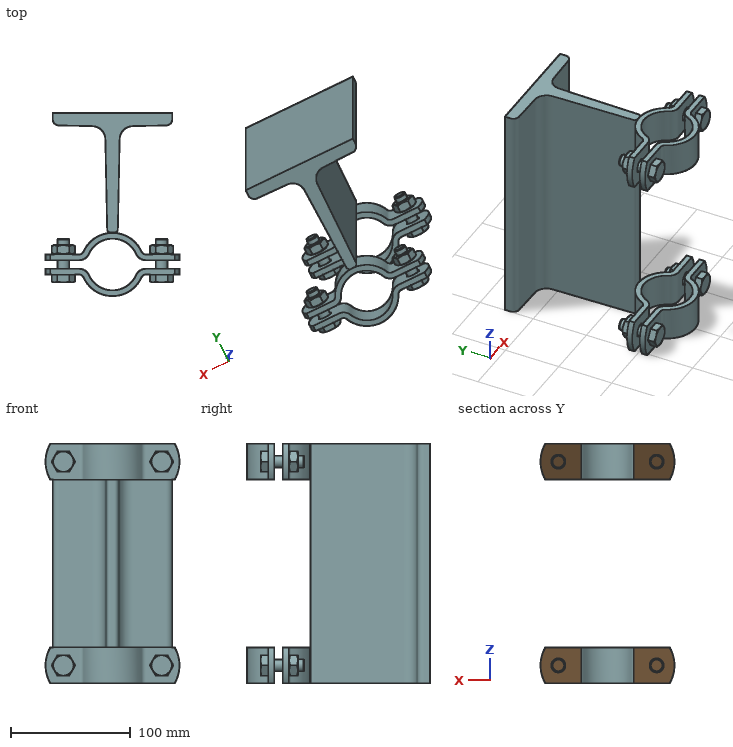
import cadquery as cq
import math

TEE_SIZE = 100.0
TEE_LENGTH = 200.0
TEE_THICKNESS = 11.0
TEE_TAPER = 0.02
TEE_ROOT_RADIUS = 11.0
TEE_EDGE_RADIUS = 5.5
TEE_TOE_RADIUS = 3.0

PIPE_BORE_RADIUS = 21.5
STRAP_THICKNESS = 5.0
STRAP_WIDTH = 30.0
STRAP_SPAN = 112.0
STRAP_END_RADIUS = 30.0
STRAP_GAP = 7.0
BEND_RADIUS = 4.0

BOLT_SPACING = 82.0
BOLT_DIAMETER = 10.0
BOLT_TIP_DIAMETER = 9.19
BOLT_TIP_CHAMFER = 1.0
BOLT_LENGTH = 30.0
BOLT_HOLE_DIAMETER = 11.5
HEX_FLATS = 17.0
NUT_FACE_DIAMETER = 15.4
HEX_CHAMFER_ANGLE = 30.0
HEAD_HEIGHT = 6.4
NUT_HEIGHT = 8.0

ARCH_RADIUS = PIPE_BORE_RADIUS + STRAP_THICKNESS
LUG_INNER = STRAP_GAP / 2
LUG_OUTER = LUG_INNER + STRAP_THICKNESS
CLAMP_HEIGHTS = [STRAP_WIDTH / 2, TEE_LENGTH - STRAP_WIDTH / 2]


def tee():
    """Tee with its web toe resting on the back of the clamps and its flange towards +Y."""
    toe = ARCH_RADIUS
    back = toe + TEE_SIZE
    half_width = TEE_SIZE / 2
    flange_middle = back - TEE_THICKNESS

    tip_y = flange_middle + TEE_TAPER * half_width / 2
    toe_x = TEE_THICKNESS / 2 - TEE_TAPER * half_width
    root_x = (toe_x + TEE_TAPER * (tip_y - TEE_TAPER * half_width - toe)) / (1 - TEE_TAPER ** 2)
    root_y = tip_y - TEE_TAPER * (half_width - root_x)

    outline = [
        (half_width, back),
        (half_width, tip_y),
        (root_x, root_y),
        (toe_x, toe),
        (-toe_x, toe),
        (-root_x, root_y),
        (-half_width, tip_y),
        (-half_width, back),
    ]
    body = cq.Workplane("XY").polyline(outline).close().extrude(TEE_LENGTH)

    def round_edges(work, x, y, radius):
        for side in (-1, 1):
            work = work.edges(cq.NearestToPointSelector((side * x, y, TEE_LENGTH / 2))).fillet(radius)
        return work

    body = round_edges(body, root_x, root_y, TEE_ROOT_RADIUS)
    body = round_edges(body, half_width, tip_y, TEE_EDGE_RADIUS)
    return round_edges(body, toe_x, toe, TEE_TOE_RADIUS)


def strap():
    """Arched strap with two lugs, on the +Y side of the pipe, centred on Z = 0."""
    bend_y = LUG_OUTER + BEND_RADIUS
    bend_reach = ARCH_RADIUS + BEND_RADIUS
    bend_x = math.sqrt(bend_reach ** 2 - bend_y ** 2)
    bend_angle = math.atan2(bend_y, bend_x)
    half_span = STRAP_SPAN / 2

    def arch_point(radius):
        return radius * math.cos(bend_angle), radius * math.sin(bend_angle)

    def bend_middle(radius):
        start_angle = math.pi + bend_angle
        end_angle = 1.5 * math.pi
        angle = (start_angle + end_angle) / 2
        return bend_x + radius * math.cos(angle), bend_y + radius * math.sin(angle)

    def mirrored(point):
        return -point[0], point[1]

    outer_bend = bend_middle(BEND_RADIUS)
    inner_bend = bend_middle(BEND_RADIUS + STRAP_THICKNESS)
    outer_end = arch_point(ARCH_RADIUS)
    inner_end = arch_point(PIPE_BORE_RADIUS)
    body = (
        cq.Workplane("XY")
        .moveTo(half_span, LUG_OUTER)
        .lineTo(bend_x, LUG_OUTER)
        .threePointArc(outer_bend, outer_end)
        .threePointArc((0, ARCH_RADIUS), mirrored(outer_end))
        .threePointArc(mirrored(outer_bend), (-bend_x, LUG_OUTER))
        .lineTo(-half_span, LUG_OUTER)
        .lineTo(-half_span, LUG_INNER)
        .lineTo(-bend_x, LUG_INNER)
        .threePointArc(mirrored(inner_bend), mirrored(inner_end))
        .threePointArc((0, PIPE_BORE_RADIUS), inner_end)
        .threePointArc(inner_bend, (bend_x, LUG_INNER))
        .lineTo(half_span, LUG_INNER)
        .close()
        .extrude(STRAP_WIDTH / 2, both=True)
    )

    half_width = STRAP_WIDTH / 2
    corner_x = half_span - STRAP_END_RADIUS + math.sqrt(STRAP_END_RADIUS ** 2 - half_width ** 2)
    face = (
        cq.Workplane("XZ")
        .moveTo(-corner_x, -half_width)
        .lineTo(corner_x, -half_width)
        .threePointArc((half_span, 0), (corner_x, half_width))
        .lineTo(-corner_x, half_width)
        .threePointArc((-half_span, 0), (-corner_x, -half_width))
        .close()
        .extrude(-ARCH_RADIUS)
    )
    holes = (
        cq.Workplane("XZ")
        .pushPoints([(-BOLT_SPACING / 2, 0), (BOLT_SPACING / 2, 0)])
        .circle(BOLT_HOLE_DIAMETER / 2)
        .extrude(-ARCH_RADIUS)
    )
    return body.intersect(face).cut(holes)


def revolved_about_y(profile):
    """Solid of revolution about Y from (radius, y) points."""
    return cq.Workplane("XY").polyline(profile).close().revolve(360, (0, 0, 0), (0, 1, 0))


def hexagon(bottom, height, face_diameter, chamfer_bottom, chamfer_top):
    """Hexagon along +Y with two corners along X.

    Each chamfered end is left with a flat circle of the face diameter.
    """
    corner_radius = HEX_FLATS / math.sqrt(3)
    face_radius = face_diameter / 2
    drop = (corner_radius - face_radius) * math.tan(math.radians(HEX_CHAMFER_ANGLE))
    top = bottom + height
    prism = (
        cq.Workplane("XZ", origin=(0, bottom, 0))
        .polygon(6, 2 * corner_radius)
        .extrude(-height)
    )
    profile = [(0, bottom)]
    if chamfer_bottom:
        profile += [(face_radius, bottom), (corner_radius, bottom + drop)]
    else:
        profile += [(corner_radius, bottom)]
    if chamfer_top:
        profile += [(corner_radius, top - drop), (face_radius, top)]
    else:
        profile += [(corner_radius, top)]
    profile += [(0, top)]
    return prism.intersect(revolved_about_y(profile))


def bolt_and_nut():
    """Bolt along +Y, its head on the -Y lug and its nut on the +Y lug."""
    radius = BOLT_DIAMETER / 2
    tip_radius = BOLT_TIP_DIAMETER / 2
    tip = BOLT_LENGTH - LUG_OUTER
    shank = revolved_about_y([
        (0, -LUG_OUTER),
        (radius, -LUG_OUTER),
        (radius, tip - BOLT_TIP_CHAMFER),
        (tip_radius, tip),
        (0, tip),
    ])
    head = hexagon(-LUG_OUTER - HEAD_HEIGHT, HEAD_HEIGHT, HEX_FLATS, True, False)
    nut = hexagon(LUG_OUTER, NUT_HEIGHT, NUT_FACE_DIAMETER, True, True)
    return shank.union(head).union(nut)


def clamp(height):
    """Bolted clamp at one height: two straps held together by two bolts."""
    back_strap = strap()
    body = back_strap.union(back_strap.mirror("XZ"))
    for side in (-1, 1):
        body = body.union(bolt_and_nut().translate((side * BOLT_SPACING / 2, 0, 0)))
    return body.translate((0, 0, height))


clamps = [clamp(height) for height in CLAMP_HEIGHTS]

result = cq.Compound.makeCompound([tee().val(), *[body.val() for body in clamps]])